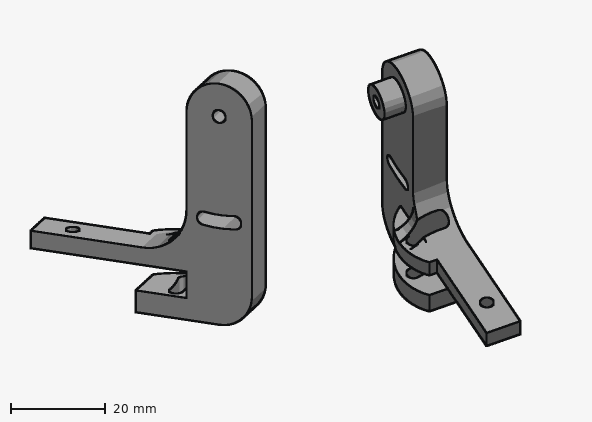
import cadquery as cq
import math

plate_depth = 8.0
total_depth = 13.0
total_height = 55.0
arm_radius = 7.5
bar_end_x = -43.0
bar_top_z = -32.5
bar_thickness = 4.0
jaw_gap = 6.0
jaw_end_x = -19.05
elbow_radius = 10.0

boss_diameter = 8.0
hole_diameter = 2.9
bar_hole_x = -35.0
swing_radius = 24.0
slot_width = 3.0
slot_half_length = 3.5
jaw_slot_middle_y = 6.5

lug_radius = 11.65
lug_center_x = -11.0
root_radius = total_depth - plate_depth
root_overlap = 0.1

bottom_z = arm_radius - total_height
bar_bottom_z = bar_top_z - bar_thickness
jaw_top_z = bar_bottom_z - jaw_gap
lug_center_y = total_depth - lug_radius
bar_hole_y = plate_depth / 2
diagonal = math.sqrt(0.5)
elbow_x = -arm_radius - elbow_radius
elbow_z = bar_top_z + elbow_radius


def along_y(shape_depth):
    """Workplane on XZ and the signed distance that extrudes toward +Y."""
    return cq.Workplane("XZ"), -shape_depth


def make_plate():
    plane, distance = along_y(plate_depth)
    corner_x = arm_radius * diagonal
    corner_z = bottom_z + arm_radius * (1 - diagonal)
    return (
        plane.moveTo(-arm_radius, 0)
        .threePointArc((0, arm_radius), (arm_radius, 0))
        .lineTo(arm_radius, bottom_z + arm_radius)
        .threePointArc((corner_x, corner_z), (0, bottom_z))
        .lineTo(jaw_end_x, bottom_z)
        .lineTo(jaw_end_x, jaw_top_z)
        .lineTo(-arm_radius, jaw_top_z)
        .lineTo(-arm_radius, bar_bottom_z)
        .lineTo(bar_end_x, bar_bottom_z)
        .lineTo(bar_end_x, bar_top_z)
        .lineTo(elbow_x, bar_top_z)
        .threePointArc(
            (elbow_x + elbow_radius * diagonal, elbow_z - elbow_radius * diagonal),
            (-arm_radius, elbow_z),
        )
        .close()
        .extrude(distance)
    )


def make_lug(low_z, high_z):
    """Rounded lug reaching behind the plate, cut flat at the jaw end."""
    height = high_z - low_z
    disc = cq.Workplane("XY", origin=(lug_center_x, lug_center_y, low_z)).circle(lug_radius).extrude(height)
    limit = (
        cq.Workplane("XY", origin=(0, 0, low_z))
        .moveTo(jaw_end_x, plate_depth / 2)
        .lineTo(arm_radius, plate_depth / 2)
        .lineTo(arm_radius, total_depth)
        .lineTo(jaw_end_x, total_depth)
        .close()
        .extrude(height)
    )
    return disc.intersect(limit)


def make_lug_root():
    """Concave blend from the upper lug to the plate, on both sides of the jaw slot."""
    wedge_depth = total_depth - plate_depth + root_overlap
    wedge = (
        cq.Workplane("XY", origin=(elbow_x, plate_depth - root_overlap, bar_top_z - root_overlap))
        .box(elbow_radius, wedge_depth, root_radius + root_overlap, centered=False)
    )
    disc = (
        cq.Workplane("XY", origin=(lug_center_x, lug_center_y, bar_bottom_z))
        .circle(lug_radius)
        .extrude(elbow_radius)
    )
    elbow_void = (
        cq.Workplane("XZ", origin=(elbow_x, 0, elbow_z)).circle(elbow_radius).extrude(-total_depth)
    )
    wedge = wedge.intersect(disc).cut(elbow_void)

    roller_z = bar_top_z + root_radius
    diagonal_plane = cq.Plane(
        origin=(elbow_x, plate_depth, roller_z),
        xDir=(1, -1, 0),
        normal=(1, 1, 0),
    )
    diagonal_roller = (
        cq.Workplane(diagonal_plane).circle(root_radius).extrude(total_depth, both=True)
    )
    beyond_roller = (
        cq.Workplane("XY", origin=(0, 0, bar_bottom_z))
        .moveTo(elbow_x, plate_depth)
        .line(elbow_radius, elbow_radius)
        .line(-elbow_radius, 0)
        .close()
        .extrude(elbow_radius)
    )
    inner_part = (
        wedge.intersect(slot_disc(swing_radius - slot_width / 2))
        .cut(diagonal_roller)
        .cut(beyond_roller)
    )

    straight_roller = (
        cq.Workplane("YZ", origin=(elbow_x, total_depth, roller_z)).circle(root_radius).extrude(elbow_radius)
    )
    outer_part = wedge.cut(slot_disc(swing_radius + slot_width / 2)).cut(straight_roller)
    return inner_part, outer_part


def slot_disc(radius):
    """Disc around the bar hole, tall enough to pass through the lug root."""
    return (
        cq.Workplane("XY", origin=(bar_hole_x, bar_hole_y, bar_bottom_z))
        .circle(radius)
        .extrude(elbow_radius)
    )


def swing_slot(plane, middle_angle, depth):
    """Slot with round ends, curved about the origin of the given plane."""
    half_angle = math.asin(slot_half_length / swing_radius)
    start = middle_angle - half_angle
    end = middle_angle + half_angle
    inner = swing_radius - slot_width / 2
    outer = swing_radius + slot_width / 2

    def polar(radius, angle):
        return radius * math.cos(angle), radius * math.sin(angle)

    band = (
        plane.moveTo(*polar(inner, start))
        .threePointArc(polar(inner, middle_angle), polar(inner, end))
        .lineTo(*polar(outer, end))
        .threePointArc(polar(outer, middle_angle), polar(outer, start))
        .close()
        .extrude(depth)
    )
    ends = plane.pushPoints([polar(swing_radius, start), polar(swing_radius, end)])
    return band.union(ends.circle(slot_width / 2).extrude(depth))


body = make_plate()
body = body.union(make_lug(bottom_z, jaw_top_z))
body = body.union(make_lug(bar_bottom_z, bar_top_z))
for root_part in make_lug_root():
    body = body.union(root_part)
boss_plane, boss_reach = along_y(total_depth)
body = body.union(boss_plane.circle(boss_diameter / 2).extrude(boss_reach))

pivot_plane, pivot_reach = along_y(total_depth)
body = body.cut(pivot_plane.circle(hole_diameter / 2).extrude(pivot_reach))
bar_hole_plane = cq.Workplane("XY", origin=(bar_hole_x, bar_hole_y, bottom_z))
body = body.cut(bar_hole_plane.circle(hole_diameter / 2).extrude(total_height))

arm_slot_plane, arm_slot_reach = along_y(plate_depth)
body = body.cut(swing_slot(arm_slot_plane, -math.pi / 2, arm_slot_reach))
jaw_slot_angle = math.asin((jaw_slot_middle_y - bar_hole_y) / swing_radius)
body = body.cut(swing_slot(bar_hole_plane, jaw_slot_angle, total_height))

result = body